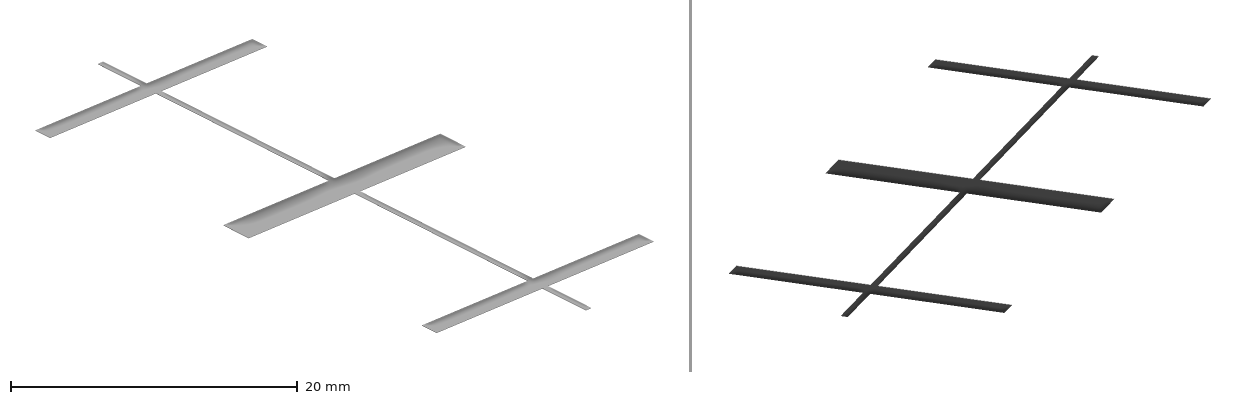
import cadquery as cq

thickness = 0.04
spine_length = 50.5
spine_width = 0.5
bar_length = 20.5
center_bar_width = 2.65
outer_bar_width = 1.5
outer_bar_offset = 20.0


def strip(size_x, size_y, center_x=0):
    """Flat rectangular strip centred on the X axis."""
    return cq.Workplane("XY").center(center_x, 0).rect(size_x, size_y).extrude(thickness)


result = strip(spine_length, spine_width)

result = result.union(strip(center_bar_width, bar_length))

for side in (-1, 1):
    result = result.union(strip(outer_bar_width, bar_length, side * outer_bar_offset))